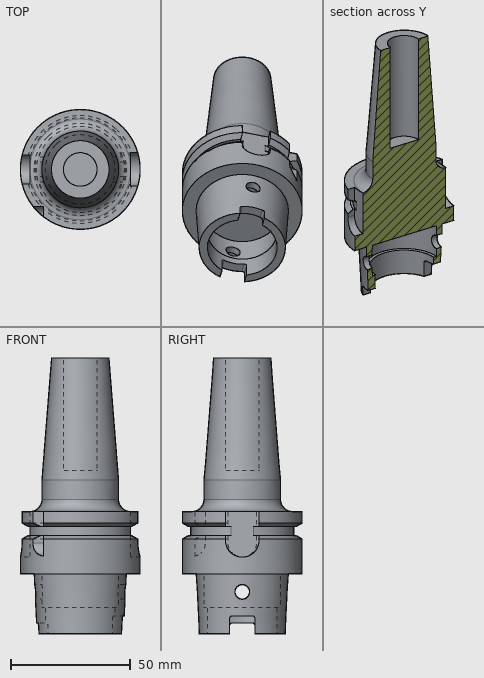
import cadquery as cq
import math


nose_top_z = 90.0
nose_tip_radius = 12.0
nose_base_radius = 16.0
nose_cone_half_angle = 4.5
nose_cone_base_z = nose_top_z - (nose_base_radius - nose_tip_radius) / math.tan(
    math.radians(nose_cone_half_angle)
)
tool_bore_diameter = 14.0
tool_bore_depth = 47.0

flange_diameter = 50.0
flange_radius = flange_diameter / 2
flange_top_z = 26.0
nose_fillet_radius = 5.0
groove_root_radius = 21.5
groove_shoulder_radius = 22.5
groove_center_z = 17.875
groove_root_width = 3.75
groove_flank_angle = 30.0
groove_flank_run = flange_radius - groove_shoulder_radius
groove_flank_rise = groove_flank_run * math.tan(math.radians(groove_flank_angle))
groove_root_half = groove_root_width / 2
groove_mouth_half = groove_root_half + groove_flank_rise

drive_slot_floor_x = 21.0
drive_slot_bottom_z = 7.0
left_drive_slot_width = 12.0
right_drive_slot_width = 14.0

notch_wall_x = -15.4
notch_wall_y = -15.4
notch_round_radius = 5.5
notch_round_center_z = 12.8

shank_length = 25.0
shank_top_radius = 19.25
shank_end_radius = 18.0
shank_mouth_diameter = 29.0
clamping_recess_diameter = 32.0
clamping_recess_floor_z = -14.0
cross_hole_diameter = 6.0
cross_hole_z = -7.5
shank_slot_width = 10.5
shank_slot_corner_radius = 1.0
left_shank_slot_depth = 4.5
right_shank_slot_depth = 7.5

clearance = flange_diameter


def turned_body():
    """Revolved outside shape: shank, grooved flange, filleted nose and cone."""
    fillet_center_x = nose_base_radius + nose_fillet_radius
    fillet_center_z = flange_top_z + nose_fillet_radius
    fillet_reach = nose_fillet_radius * math.sqrt(0.5)
    profile = (
        cq.Workplane("XZ")
        .moveTo(0, -shank_length)
        .lineTo(shank_end_radius, -shank_length)
        .lineTo(shank_top_radius, 0)
        .lineTo(flange_radius, 0)
        .lineTo(flange_radius, groove_center_z - groove_mouth_half)
        .lineTo(groove_shoulder_radius, groove_center_z - groove_root_half)
        .lineTo(groove_root_radius, groove_center_z - groove_root_half)
        .lineTo(groove_root_radius, groove_center_z + groove_root_half)
        .lineTo(groove_shoulder_radius, groove_center_z + groove_root_half)
        .lineTo(flange_radius, groove_center_z + groove_mouth_half)
        .lineTo(flange_radius, flange_top_z)
        .lineTo(fillet_center_x, flange_top_z)
        .threePointArc(
            (fillet_center_x - fillet_reach, fillet_center_z - fillet_reach),
            (nose_base_radius, fillet_center_z),
        )
        .lineTo(nose_base_radius, nose_cone_base_z)
        .lineTo(nose_tip_radius, nose_top_z)
        .lineTo(0, nose_top_z)
        .close()
    )
    return profile.revolve(360, (0, 0, 0), (0, 1, 0))


def bore(diameter, bottom_z, depth):
    """Cylinder on the part axis, rising from bottom_z."""
    return cq.Workplane("XY").workplane(offset=bottom_z).circle(diameter / 2).extrude(depth)


def side_plane(side, distance):
    """YZ sketch plane at the given distance toward side (-1 or +1) along X."""
    return cq.Workplane("YZ").workplane(offset=side * distance)


def drive_slot(side, width):
    """Flat-floored slot, open at the flange top, with a half-round lower end."""
    half = width / 2
    round_center_z = drive_slot_bottom_z + half
    outline = (
        side_plane(side, drive_slot_floor_x)
        .moveTo(-half, flange_top_z)
        .lineTo(-half, round_center_z)
        .threePointArc((0, drive_slot_bottom_z), (half, round_center_z))
        .lineTo(half, flange_top_z)
        .close()
    )
    return outline.extrude(side * clearance)


def corner_notch():
    """Rim notch with two square walls and a rounded floor running along X."""
    round_center_y = notch_wall_y - notch_round_radius
    outline = (
        side_plane(-1, -notch_wall_x)
        .moveTo(notch_wall_y, flange_top_z)
        .lineTo(notch_wall_y, notch_round_center_z)
        .radiusArc((round_center_y, notch_round_center_z - notch_round_radius), notch_round_radius)
        .lineTo(round_center_y, flange_top_z)
        .close()
    )
    return outline.extrude(-clearance)


def shank_slot(side, depth):
    """Slot through one shank wall, open at the shank end, with rounded inner corners."""
    slot = cq.Workplane("XY").box(clearance, shank_slot_width, depth, centered=(True, True, False))
    slot = slot.edges("|X and >Z").fillet(shank_slot_corner_radius)
    return slot.translate((side * clearance / 2, 0, -shank_length))


def cross_hole():
    """Radial hole along X through both shank walls."""
    return (
        cq.Workplane("YZ")
        .center(0, cross_hole_z)
        .circle(cross_hole_diameter / 2)
        .extrude(clearance, both=True)
    )


result = (
    turned_body()
    .cut(bore(tool_bore_diameter, nose_top_z - tool_bore_depth, tool_bore_depth))
    .cut(bore(shank_mouth_diameter, -shank_length, shank_length))
    .cut(bore(clamping_recess_diameter, clamping_recess_floor_z, -clamping_recess_floor_z))
    .cut(cross_hole())
    .cut(shank_slot(-1, left_shank_slot_depth))
    .cut(shank_slot(1, right_shank_slot_depth))
    .cut(drive_slot(-1, left_drive_slot_width))
    .cut(drive_slot(1, right_drive_slot_width))
    .cut(corner_notch())
)